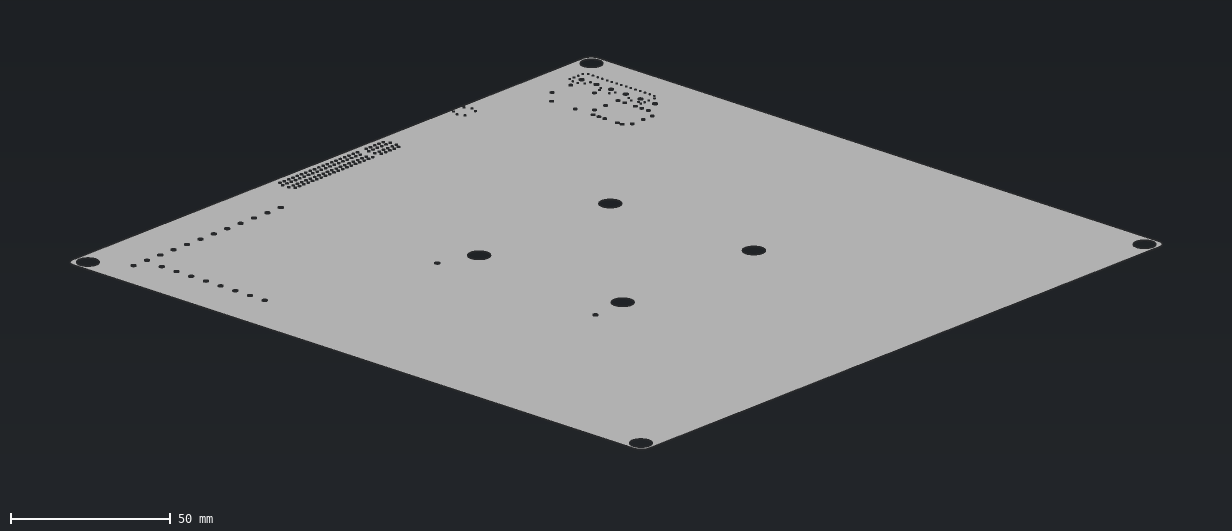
import cadquery as cq
import math


board_side = 244.0
board_thickness = 0.23
corner_radius = 3.5

mount_hole_diameter = 7.1
mount_inset = 5.0
mount_offset = board_side / 2 - mount_inset

centre_hole_diameter = 7.2
centre_pitch_x = 60.75
centre_pitch_y = 60.96
centre_group_x = -0.1
centre_group_y = 0.23

pin_diameter = 1.6
pin_pitch = 6.22
pin_start = -109.68
pin_line_offset = 104.39
column_pins = 12
bottom_row_pins = 8
bottom_row_skip = 2
top_row_pins = 6

pair_left_x = -35.6
pair_right_x = 31.35
pair_y = -44.1

slot_hole_diameter = 0.84
slot_pin_pitch = 1.0
slot_first_pin_y = 23.5
slot_outer_columns_x = (-119.03, -112.59)
slot_inner_columns_x = (-117.02, -114.42)
slot_pins = 49
pins_before_key = 11
key_gap = 2.0

ring_centre = (-118.25, 59.34)
ring_radius = 3.46
ring_via_diameter = 0.64
ring_angles = (45, 90, 135, 225, 270, 315)

stitch_diameter = 0.5
stitch_pitch = 2.0
stitch_top_start_x = -111.4
stitch_top_y = 109.34
stitch_top_count = 15
stitch_left_x = -112.75
stitch_left_start_y = 108.2
stitch_left_count = 4
stitch_right_x = -81.9
stitch_right_y = (107.7, 105.1, 103.1, 101.4)
stitch_lower_y = 101.5
stitch_lower_x = (-110.8, -108.7, -99.5, -95.3, -86.1)
stitch_stepped = [
    (-106.7, 102.5),
    (-106.15, 104.6),
    (-100.5, 103.1),
    (-94.3, 103.1),
    (-88.1, 102.5),
    (-83.5, 102.05),
]

outline_diameter = 1.2
outline_upper_y = 98.6
outline_upper_x = (-109.0, -99.0, -89.0, -86.2, -81.7, -79.0, -76.2)
outline_lower_y = 84.2
outline_lower_x = (-104.0, -94.0, -86.5, -84.0, -81.5, -76.2, -74.2)
outline_left_x = -109.0
outline_left_y = (89.9,)
outline_middle_x = -89.0
outline_middle_y = (92.8, 87.6)
outline_right_x = -72.1
outline_right_y = (95.9, 91.7, 86.6)


def row(x_values, y):
    """Points along X at one height."""
    return [(x, y) for x in x_values]


def column(x, y_values):
    """Points along Y at one X."""
    return [(x, y) for y in y_values]


def spaced(start, pitch, count):
    """Evenly spaced values."""
    return [start + i * pitch for i in range(count)]


def rectangle_corners(centre_x, centre_y, half_x, half_y):
    """Corner points of a rectangle given by its centre and half sides."""
    return [(centre_x + sx * half_x, centre_y + sy * half_y) for sx in (-1, 1) for sy in (-1, 1)]


def pin_points():
    left_column = column(-pin_line_offset, spaced(pin_start, pin_pitch, column_pins))
    bottom_start = pin_start + bottom_row_skip * pin_pitch
    bottom_row = row(spaced(bottom_start, pin_pitch, bottom_row_pins), -pin_line_offset)
    top_row = row(spaced(pin_start, pin_pitch, top_row_pins), pin_line_offset)
    pair = row((pair_left_x, pair_right_x), pair_y)
    return left_column + bottom_row + top_row + pair


def slot_points():
    """Odd pins sit in the inner columns, even pins in the outer ones."""
    points = []
    for pin in range(1, slot_pins + 1):
        y = slot_first_pin_y - (pin - 1) * slot_pin_pitch
        if pin > pins_before_key:
            y -= key_gap
        columns = slot_inner_columns_x if pin % 2 else slot_outer_columns_x
        points += row(columns, y)
    return points


def ring_points():
    centre_x, centre_y = ring_centre
    points = []
    for angle in map(math.radians, ring_angles):
        points.append((centre_x + ring_radius * math.cos(angle), centre_y + ring_radius * math.sin(angle)))
    return points


def stitch_points():
    top = row(spaced(stitch_top_start_x, stitch_pitch, stitch_top_count), stitch_top_y)
    left = column(stitch_left_x, spaced(stitch_left_start_y, -stitch_pitch, stitch_left_count))
    right = column(stitch_right_x, stitch_right_y)
    lower = row(stitch_lower_x, stitch_lower_y)
    return top + left + right + lower + stitch_stepped


def outline_points():
    upper = row(outline_upper_x, outline_upper_y)
    lower = row(outline_lower_x, outline_lower_y)
    left = column(outline_left_x, outline_left_y)
    middle = column(outline_middle_x, outline_middle_y)
    right = column(outline_right_x, outline_right_y)
    return upper + lower + left + middle + right


hole_groups = [
    (mount_hole_diameter, rectangle_corners(0, 0, mount_offset, mount_offset)),
    (
        centre_hole_diameter,
        rectangle_corners(centre_group_x, centre_group_y, centre_pitch_x / 2, centre_pitch_y / 2),
    ),
    (pin_diameter, pin_points()),
    (slot_hole_diameter, slot_points()),
    (ring_via_diameter, ring_points()),
    (stitch_diameter, stitch_points()),
    (outline_diameter, outline_points()),
]

profile = cq.Sketch().rect(board_side, board_side).vertices().fillet(corner_radius).reset()
for diameter, points in hole_groups:
    profile = profile.push(points).circle(diameter / 2, mode="s").reset()

result = cq.Workplane("XY").placeSketch(profile).extrude(board_thickness)